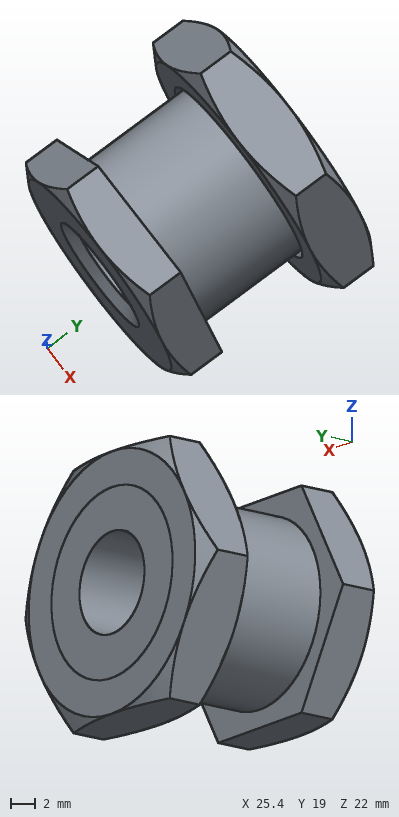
import cadquery as cq
import math

flats_per_corners = math.cos(math.radians(30))
nut_corners = 25.4
head_corners = nut_corners * flats_per_corners
corner_bevel_angle = 30.0

head_thickness = 4.0
shank_gap = 10.0
nut_thickness = 5.0
nut_front = head_thickness + shank_gap
total_length = nut_front + nut_thickness

shank_diameter = 16.0
bore_diameter = 8.59
bore_mouth_diameter = 10.4
nut_recess_diameter = 17.02
nut_recess_depth = 1.0
mouth_angle = 45.0
nut_taper_angle = 60.0


def disc(diameter, start, length):
    """Round bar along +Y from y = start."""
    axis = cq.Vector(0, 1, 0)
    return cq.Workplane(cq.Solid.makeCylinder(diameter / 2, length, cq.Vector(0, start, 0), axis))


def cone(start_diameter, end_diameter, start, length):
    """Tapered plug along +Y from y = start."""
    place = cq.Vector(0, start, 0)
    axis = cq.Vector(0, 1, 0)
    return cq.Workplane(cq.Solid.makeCone(start_diameter / 2, end_diameter / 2, length, place, axis))


def hexagon(corners, start, thickness, bevel_back):
    """Hexagonal block with its corners bevelled in front and, if asked, at the back."""
    block = (
        cq.Workplane("XZ", origin=(0, start, 0))
        .polygon(6, corners)
        .extrude(-thickness)
    )
    corner_radius = corners / 2
    flat_radius = corner_radius * flats_per_corners
    bevel_depth = (corner_radius - flat_radius) * math.tan(math.radians(corner_bevel_angle))
    back = start + thickness
    envelope = (
        cq.Workplane("XY")
        .moveTo(0, start)
        .lineTo(flat_radius, start)
        .lineTo(corner_radius, start + bevel_depth)
    )
    if bevel_back:
        envelope = envelope.lineTo(corner_radius, back - bevel_depth).lineTo(flat_radius, back)
    else:
        envelope = envelope.lineTo(corner_radius, back)
    envelope = envelope.lineTo(0, back).close().revolve(360, (0, 0, 0), (0, 1, 0))
    return block.intersect(envelope)


def make_bolt():
    """Hollow bolt: hexagonal head, plain shank, through bore with a countersunk mouth."""
    head = hexagon(head_corners, 0, head_thickness, bevel_back=False)
    shank = disc(shank_diameter, head_thickness, total_length - head_thickness)
    bore = disc(bore_diameter, 0, total_length)
    mouth_depth = (bore_mouth_diameter - bore_diameter) / 2 / math.tan(math.radians(mouth_angle))
    mouth = cone(bore_mouth_diameter, bore_diameter, 0, mouth_depth)
    return head.union(shank).cut(bore).cut(mouth)


def make_nut():
    """Hexagonal nut fitting the shank, with a tapered-floor recess in its front face."""
    blank = hexagon(nut_corners, nut_front, nut_thickness, bevel_back=True)
    hole = disc(shank_diameter, nut_front, nut_thickness)
    recess = disc(nut_recess_diameter, nut_front, nut_recess_depth)
    taper_start = nut_front + nut_recess_depth
    taper_depth = (nut_recess_diameter - shank_diameter) / 2 / math.tan(math.radians(nut_taper_angle))
    taper = cone(nut_recess_diameter, shank_diameter, taper_start, taper_depth)
    return blank.cut(hole).cut(recess).cut(taper)


bolt = make_bolt()
nut = make_nut()
result = cq.Compound.makeCompound([bolt.val(), nut.val()])